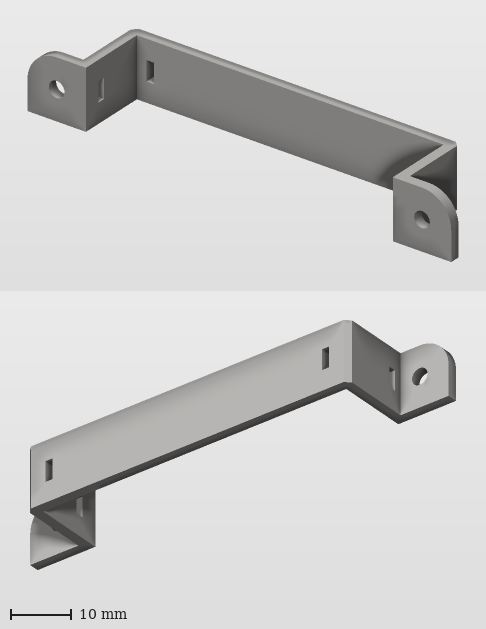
import cadquery as cq

LENGTH = 87.0
DEPTH = 16.0
HEIGHT = 12.0
THICKNESS = 2.0

EAR_LENGTH = 12.0
INNER_SPAN = LENGTH - 2 * EAR_LENGTH
OUTER_SPAN = INNER_SPAN + 2 * THICKNESS
CORNER_CHAMFER = 1.0

EAR_RADIUS = 6.0
HOLE_DIAMETER = 3.2
HOLE_FROM_TIP = 6.0

SLOT_WIDTH = 1.5
SLOT_HEIGHT = 4.0
BACK_SLOT_FROM_LEG = 2.75
LEG_SLOT_Y = 4.25

MID_Z = HEIGHT / 2
SIDES = (-1, 1)


def block(size_x, size_y, size_z, x, y, z):
    """Box centred on (x, y, z)."""
    return cq.Workplane("XY").box(size_x, size_y, size_z).translate((x, y, z))


def make_strap():
    """Hat-shaped strap with bevelled back corners and rounded upper ear tips."""
    bridge = block(OUTER_SPAN, DEPTH, HEIGHT, 0, DEPTH / 2, MID_Z)
    bridge = bridge.edges("|Z and >Y").chamfer(CORNER_CHAMFER)
    ears = block(LENGTH, THICKNESS, HEIGHT, 0, THICKNESS / 2, MID_Z)
    ears = ears.edges("|Y and >Z").fillet(EAR_RADIUS)
    inside_depth = DEPTH - THICKNESS
    inside = block(INNER_SPAN, inside_depth, HEIGHT, 0, inside_depth / 2, MID_Z)
    return bridge.union(ears).cut(inside)


def ear_hole(side):
    """Screw hole through one ear along Y."""
    x = side * (LENGTH / 2 - HOLE_FROM_TIP)
    hole = cq.Workplane("XZ").center(x, MID_Z).circle(HOLE_DIAMETER / 2)
    return hole.extrude(-THICKNESS)


def back_slot(side):
    """Slot through the back wall beside one leg."""
    x = side * (INNER_SPAN / 2 - BACK_SLOT_FROM_LEG)
    return block(SLOT_WIDTH, THICKNESS, SLOT_HEIGHT, x, DEPTH - THICKNESS / 2, MID_Z)


def leg_slot(side):
    """Slot through one leg along X."""
    x = side * (INNER_SPAN + THICKNESS) / 2
    return block(THICKNESS, SLOT_WIDTH, SLOT_HEIGHT, x, LEG_SLOT_Y, MID_Z)


result = make_strap()
for end in SIDES:
    result = result.cut(ear_hole(end)).cut(back_slot(end)).cut(leg_slot(end))